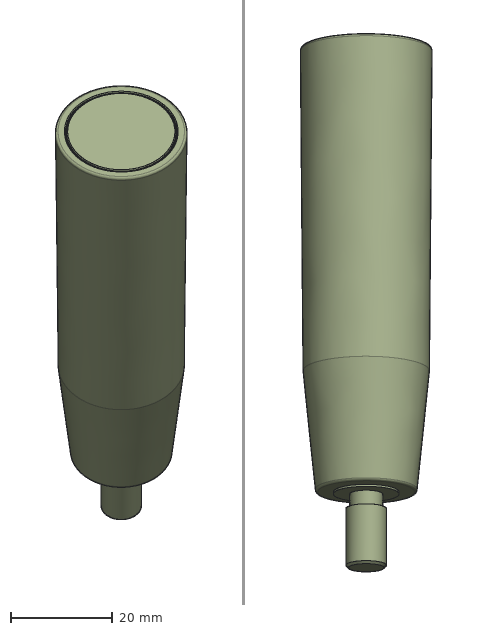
import cadquery as cq

total_height = 105.4

grip_top_diameter = 26.0
seam_diameter = 25.0
grip_bottom_diameter = 20.0
seam_z = 39.9
grip_bottom_z = 15.4
top_edge_radius = 0.5
bottom_edge_radius = 0.5

cap_diameter = 21.6
cap_seat_diameter = 22.0
cap_groove_depth = 1.1
groove_edge_chamfer = 0.2

collar_diameter = 13.0
collar_bottom_z = 15.0

stud_diameter = 8.0
stud_top_z = 12.0
neck_diameter = 6.5
stud_chamfer = 0.5


def cylinder(diameter, bottom_z, top_z):
    """Upright cylinder on the Z axis."""
    return cq.Workplane("XY").workplane(offset=bottom_z).circle(diameter / 2).extrude(top_z - bottom_z)


def make_grip():
    """Revolved sleeve with rounded end edges."""
    profile = (
        cq.Workplane("XZ")
        .moveTo(0, grip_bottom_z)
        .lineTo(grip_bottom_diameter / 2, grip_bottom_z)
        .lineTo(seam_diameter / 2, seam_z)
        .lineTo(grip_top_diameter / 2, total_height)
        .lineTo(0, total_height)
        .close()
    )
    grip = profile.revolve(360, (0, 0, 0), (0, 1, 0))
    grip = grip.faces(">Z").edges().fillet(top_edge_radius)
    return grip.faces("<Z").edges().fillet(bottom_edge_radius)


def make_cap_groove():
    """Thin ring that separates the cap from its seat, wider at its chamfered mouth."""
    groove_floor_z = total_height - cap_groove_depth
    chamfer_start_z = total_height - groove_edge_chamfer
    cap_radius = cap_diameter / 2
    seat_radius = cap_seat_diameter / 2
    profile = (
        cq.Workplane("XZ")
        .moveTo(cap_radius, groove_floor_z)
        .lineTo(seat_radius, groove_floor_z)
        .lineTo(seat_radius, chamfer_start_z)
        .lineTo(seat_radius + groove_edge_chamfer, total_height)
        .lineTo(cap_radius - groove_edge_chamfer, total_height)
        .lineTo(cap_radius, chamfer_start_z)
        .close()
    )
    return profile.revolve(360, (0, 0, 0), (0, 1, 0))


def make_stud():
    """Collar, neck and chamfered stud below the grip."""
    collar = cylinder(collar_diameter, collar_bottom_z, grip_bottom_z)
    neck = cylinder(neck_diameter, stud_top_z, collar_bottom_z)
    stud = cylinder(stud_diameter, 0, stud_top_z).faces("<Z").edges().chamfer(stud_chamfer)
    return stud.union(neck).union(collar)


result = make_grip().cut(make_cap_groove()).union(make_stud())